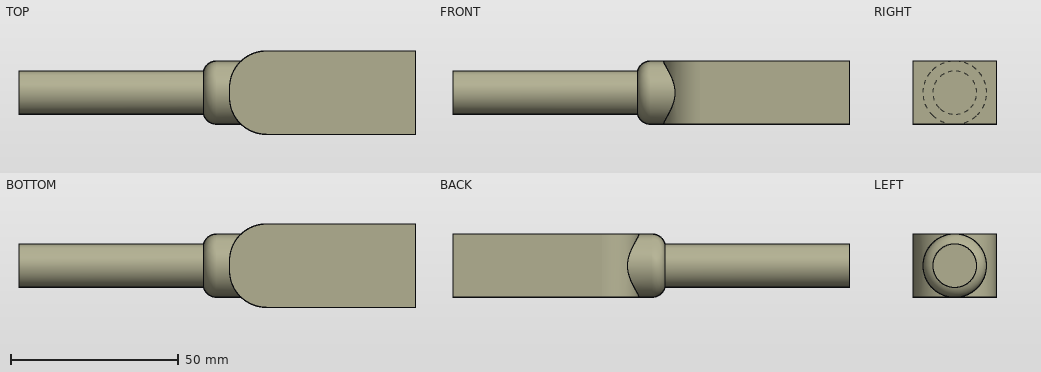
import cadquery as cq

total_length = 118.5
body_length = 55.6
body_width = 25.0
body_height = 19.0
body_corner_radius = 11.0
collar_diameter = body_height
collar_start = 55.0
collar_rounding = 4.0
cable_diameter = 13.0

body_start = total_length - body_length
body_center_x = body_start + body_length / 2
embedded_end = body_start + body_corner_radius


def make_body():
    """Rectangular connector block with rounded vertical corners on the cable side."""
    block = cq.Workplane("XY").box(body_length, body_width, body_height)
    rounded = block.edges("|Z and <X").fillet(body_corner_radius)
    return rounded.translate((body_center_x, 0, 0))


def make_rod(diameter, start):
    """Round bar along X from start into the body."""
    return cq.Workplane("YZ", origin=(start, 0, 0)).circle(diameter / 2).extrude(embedded_end - start)


def make_collar():
    """Strain relief collar with a rounded rim where the cable enters."""
    return make_rod(collar_diameter, collar_start).faces("<X").edges().fillet(collar_rounding)


cable = make_rod(cable_diameter, 0)
result = make_body().union(make_collar()).union(cable)